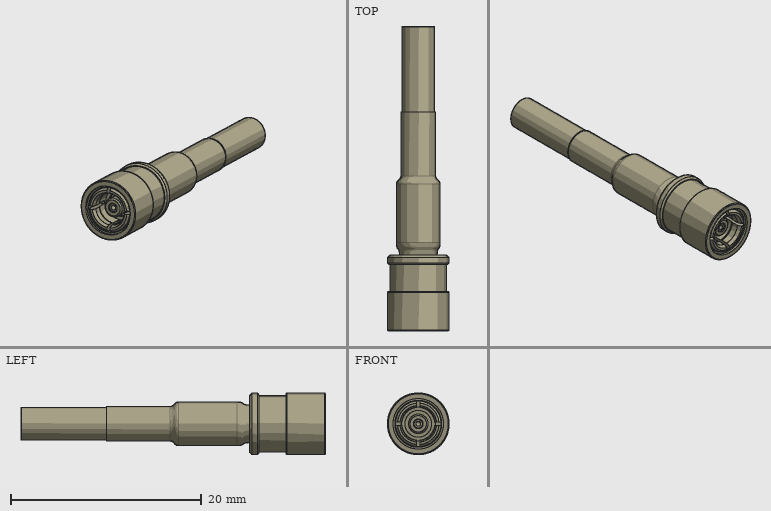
import cadquery as cq

LENGTH = 32.0
MATING_END = -LENGTH / 2

BODY_DIAMETER = 6.5
BODY_R = BODY_DIAMETER / 2
BARREL_R = 2.98
NECK_R = 2.0
SLEEVE_R = 2.3
JACKET_R = 1.82
CABLE_R = 1.73

BODY_END = 4.15
FLANGE_START = 6.98
FLANGE_END = 8.0
SLEEVE_START = 9.28
SLEEVE_END = 15.45
JACKET_START = 16.32
CABLE_START = 23.05

BODY_BREAK = 0.1
FLANGE_FRONT_BREAK = 0.2
FLANGE_REAR_BREAK = 0.3

NECK_BLEND_HANDLE = 0.7
JACKET_BLEND_HANDLE = 0.5

COUNTERBORE_R = 2.65
COUNTERBORE_DEPTH = 0.3
SOCKET_R = 2.45
SOCKET_DEPTH = 2.88
WELL_R = 1.4
WELL_DEPTH = 3.2

FINGER_R = 2.4
FINGER_TIP_R = 2.18
FINGER_MOUTH_R = 1.92
FINGER_THROAT_R = 1.73
FINGER_BORE_R = 1.8
FINGER_TIP_DEPTH = 0.1
FINGER_NOSE = 0.22
THROAT_START = 0.5
THROAT_END = 1.28
BORE_START = 1.47
SLOT_WIDTH = 0.35
SLOT_DEPTH = 2.55

POST_R = 1.02
POST_BREAK = 0.15
POST_TIP_DEPTH = 1.1
POST_HOLE_R = 0.5

CONTACT_R = 0.45
CONTACT_HOLE_R = 0.25
CONTACT_TIP_DEPTH = 1.2
CONTACT_HOLE_DEPTH = 2.25
CONTACT_CONE_DEPTH = 2.4


def place(radius, distance):
    """Point on the -X side of the axis at a distance from the mating face."""
    return (-radius, MATING_END + distance)


def spin(outline):
    return outline.close().revolve(360, (0, 0, 0), (0, 1, 0))


def turned(profile):
    """Revolve a closed outline of (radius, distance) points about the Y axis."""
    return spin(cq.Workplane("XY").polyline([place(*point) for point in profile]))


def along(outline, profile):
    """Continue an outline with straight stretches through (radius, distance) points."""
    for point in profile:
        outline = outline.lineTo(*place(*point))
    return outline


def blend(outline, start, end, handle_share):
    """Continue an outline with an S-curve that leaves and arrives parallel to the axis."""
    handle = handle_share * (end[1] - start[1])
    return outline.bezier([
        place(*start),
        place(start[0], start[1] + handle),
        place(end[0], end[1] - handle),
        place(*end),
    ])


def outer_shape():
    outline = cq.Workplane("XY").moveTo(*place(0, 0))
    outline = along(outline, [
        (BODY_R - BODY_BREAK, 0),
        (BODY_R, BODY_BREAK),
        (BODY_R, BODY_END - BODY_BREAK),
        (BODY_R - BODY_BREAK, BODY_END),
        (BARREL_R, BODY_END),
        (BARREL_R, FLANGE_START),
        (BODY_R - FLANGE_FRONT_BREAK, FLANGE_START),
        (BODY_R, FLANGE_START + FLANGE_FRONT_BREAK),
        (BODY_R, FLANGE_END - FLANGE_REAR_BREAK),
        (BODY_R - FLANGE_REAR_BREAK, FLANGE_END),
        (NECK_R, FLANGE_END),
    ])
    outline = blend(outline, (NECK_R, FLANGE_END), (SLEEVE_R, SLEEVE_START), NECK_BLEND_HANDLE)
    outline = along(outline, [(SLEEVE_R, SLEEVE_END)])
    outline = blend(outline, (SLEEVE_R, SLEEVE_END), (JACKET_R, JACKET_START), JACKET_BLEND_HANDLE)
    outline = along(outline, [
        (JACKET_R, CABLE_START),
        (CABLE_R, CABLE_START),
        (CABLE_R, LENGTH),
        (0, LENGTH),
    ])
    return spin(outline)


def socket():
    return turned([
        (0, 0),
        (COUNTERBORE_R, 0),
        (COUNTERBORE_R, COUNTERBORE_DEPTH),
        (SOCKET_R, COUNTERBORE_DEPTH),
        (SOCKET_R, SOCKET_DEPTH),
        (WELL_R, SOCKET_DEPTH),
        (WELL_R, WELL_DEPTH),
        (0, WELL_DEPTH),
    ])


def fingers():
    ring = turned([
        (FINGER_BORE_R, SOCKET_DEPTH),
        (FINGER_BORE_R, BORE_START),
        (FINGER_THROAT_R, THROAT_END),
        (FINGER_THROAT_R, THROAT_START),
        (FINGER_MOUTH_R, FINGER_TIP_DEPTH),
        (FINGER_TIP_R, FINGER_TIP_DEPTH),
        (FINGER_R, FINGER_TIP_DEPTH + FINGER_NOSE),
        (FINGER_R, SOCKET_DEPTH),
    ])
    slot_length = 2 * SOCKET_R
    slot_middle = MATING_END + SLOT_DEPTH / 2
    for size_x, size_z in ((slot_length, SLOT_WIDTH), (SLOT_WIDTH, slot_length)):
        slot = cq.Workplane("XY").box(size_x, SLOT_DEPTH, size_z).translate((0, slot_middle, 0))
        ring = ring.cut(slot)
    return ring


def insulator_post():
    return turned([
        (POST_HOLE_R, POST_TIP_DEPTH),
        (POST_R - POST_BREAK, POST_TIP_DEPTH),
        (POST_R, POST_TIP_DEPTH + POST_BREAK),
        (POST_R, WELL_DEPTH),
        (POST_HOLE_R, WELL_DEPTH),
    ])


def centre_contact():
    return turned([
        (0, CONTACT_CONE_DEPTH),
        (CONTACT_HOLE_R, CONTACT_HOLE_DEPTH),
        (CONTACT_HOLE_R, CONTACT_TIP_DEPTH),
        (CONTACT_R, CONTACT_TIP_DEPTH),
        (CONTACT_R, WELL_DEPTH),
        (0, WELL_DEPTH),
    ])


result = outer_shape().cut(socket())
for insert in (fingers(), insulator_post(), centre_contact()):
    result = result.union(insert)